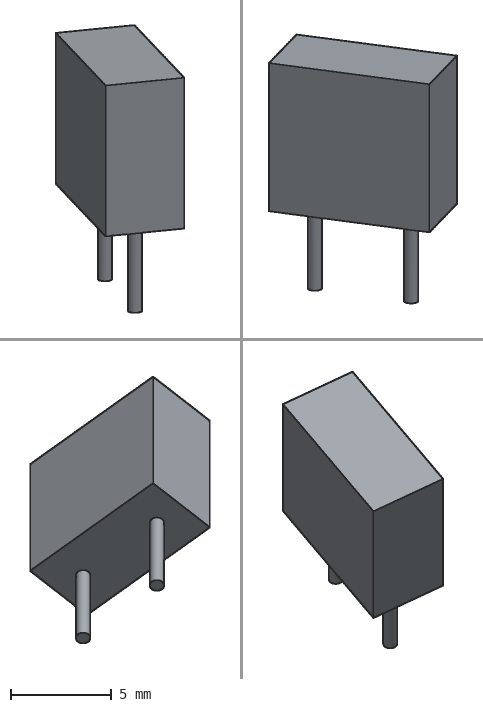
import cadquery as cq

housing_width = 8.46
housing_depth = 4.09
housing_height = 7.92

total_height = 12.57
lead_length = total_height - housing_height
lead_diameter = 0.72
lead_spacing = 5.08


def make_housing():
    """Plain rectangular block standing on the Z = 0 plane."""
    return cq.Workplane("XY").box(
        housing_width, housing_depth, housing_height, centered=(True, True, False)
    )


def make_lead(x_position):
    """Straight round lead hanging from the underside of the housing."""
    return (
        cq.Workplane("XY")
        .center(x_position, 0)
        .circle(lead_diameter / 2)
        .extrude(-lead_length)
    )


housing = make_housing()
leads = [make_lead(side * lead_spacing / 2) for side in (-1, 1)]

result = cq.Compound.makeCompound([housing.val(), *[lead.val() for lead in leads]])